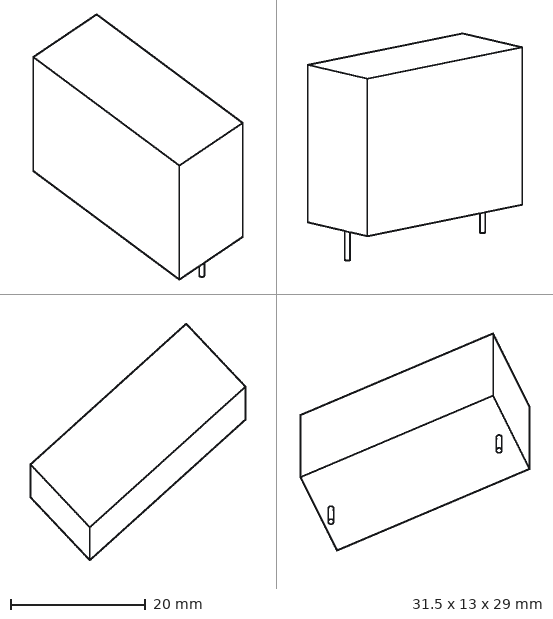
import cadquery as cq

case_length = 31.5
case_width = 13.0
case_height = 24.0
lead_diameter = 0.82
lead_length = 4.98
lead_pitch = 27.5


def make_case():
    """Plain box with its underside at Z = 0, centred on the Z axis."""
    return cq.Workplane("XY").box(case_length, case_width, case_height, centered=(True, True, False))


def make_lead(x):
    """Round lead hanging down from the underside of the case."""
    return cq.Workplane("XY").center(x, 0).circle(lead_diameter / 2).extrude(-lead_length)


case = make_case()
leads = [make_lead(side * lead_pitch / 2) for side in (-1, 1)]

result = cq.Compound.makeCompound([case.val(), *[lead.val() for lead in leads]])